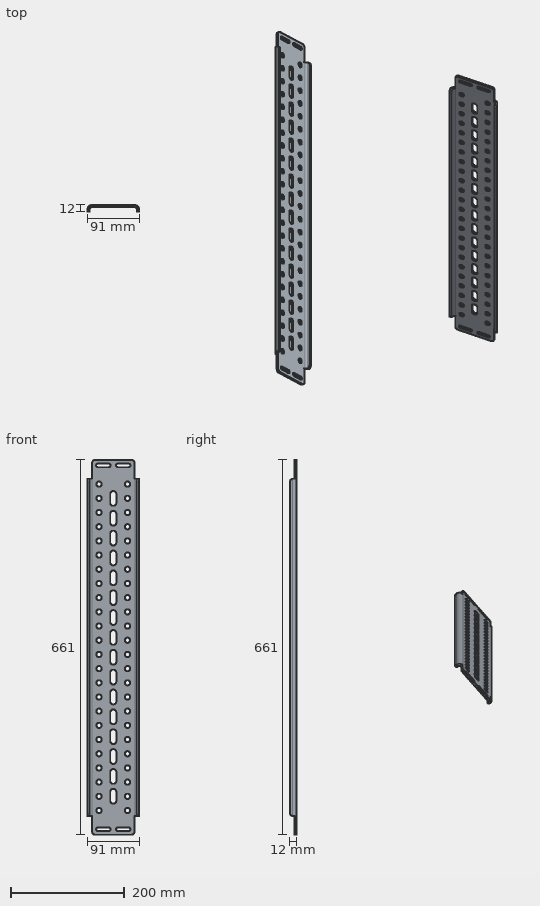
import cadquery as cq

length = 661.0
width = 91.0
thickness = 4.0

flange_length = 595.0
inner_bend_radius = 4.0
bend_radius = inner_bend_radius + thickness
lip_depth = 4.0
depth = bend_radius + lip_depth
flange_corner_radius = 6.0

plate_width = width - 2 * bend_radius
plate_corner_radius = 6.0

hole_radius = 4.5
hole_columns = 2
hole_rows = 24
hole_span = 575.0
column_spacing = 50.0

slot_count = 16
slot_span = 525.0
slot_length = 26.0
slot_width = 10.5
upright = 90

end_slot_length = 25.0
end_slot_width = 6.0
end_slot_spacing = 35.0
end_slot_edge_distance = 10.0

back = depth / 2
front = -depth / 2


def make_plate():
    """Flat plate with rounded corners, full length."""
    plate = cq.Workplane("XY").box(plate_width, thickness, length)
    plate = plate.edges("|Y").fillet(plate_corner_radius)
    return plate.translate((0, back - thickness / 2, 0))


def make_flange():
    """Bend and lip on the +X edge, with the free corners rounded."""
    bend_start = plate_width / 2
    outer = width / 2
    inner = outer - thickness
    bend_end = back - bend_radius
    flange = (
        cq.Workplane("XY")
        .moveTo(bend_start, back)
        .radiusArc((outer, bend_end), bend_radius)
        .lineTo(outer, front)
        .lineTo(inner, front)
        .lineTo(inner, bend_end)
        .radiusArc((bend_start, back - thickness), -inner_bend_radius)
        .close()
        .extrude(flange_length / 2, both=True)
    )
    side_outline = (
        cq.Workplane("XY")
        .box(width, depth, flange_length)
        .faces("<Y")
        .edges("|X")
        .fillet(flange_corner_radius)
    )
    return flange.intersect(side_outline)


def spaced(count, span):
    """Evenly spaced positions over a span centred on zero."""
    pitch = span / (count - 1)
    return [i * pitch - span / 2 for i in range(count)]


def cutters():
    """Workplane on the back face, X across and Z up, that extrudes toward -Y."""
    return cq.Workplane("XZ", origin=(0, back, 0))


def make_holes():
    columns = spaced(hole_columns, column_spacing)
    rows = spaced(hole_rows, hole_span)
    points = [(x, z) for x in columns for z in rows]
    return cutters().pushPoints(points).circle(hole_radius).extrude(thickness)


def make_slots():
    points = [(0, z) for z in spaced(slot_count, slot_span)]
    return cutters().pushPoints(points).slot2D(slot_length, slot_width, upright).extrude(thickness)


def make_end_slots():
    end_span = length - 2 * end_slot_edge_distance
    points = [(x, z) for x in spaced(2, end_slot_spacing) for z in spaced(2, end_span)]
    return cutters().pushPoints(points).slot2D(end_slot_length, end_slot_width).extrude(thickness)


right_flange = make_flange()
left_flange = right_flange.mirror("YZ")

result = make_plate().union(right_flange).union(left_flange)
result = result.cut(make_holes()).cut(make_slots()).cut(make_end_slots())